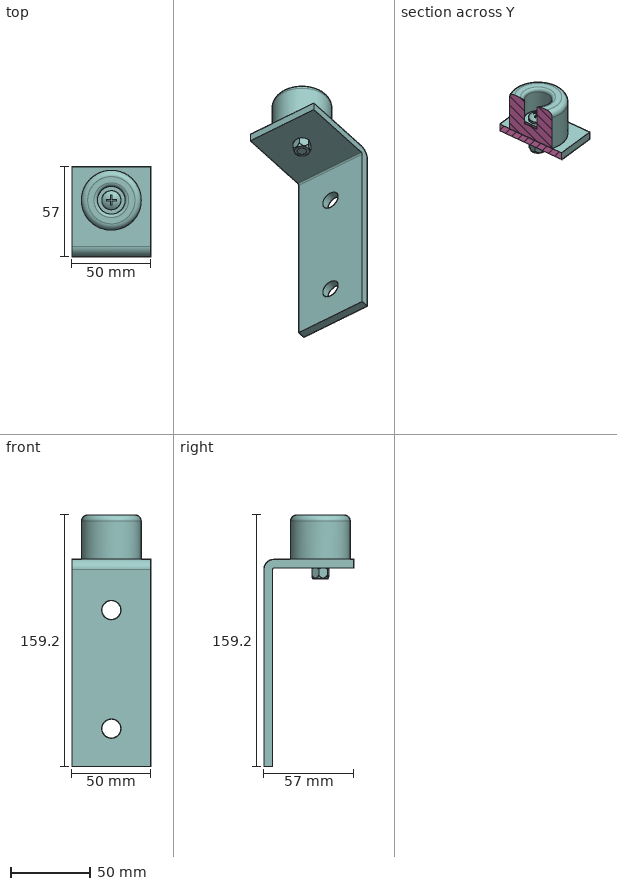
import cadquery as cq
import math

width = 50.0
depth = 57.0
flange_top = 131.2
thickness = 5.5
bend_inner_radius = 1.0
bend_outer_radius = bend_inner_radius + thickness
mount_hole_diameter = 12.0
lower_hole_height = 24.0
hole_spacing = 75.0
flange_bottom = flange_top - thickness

axis_y = 35.8
total_height = 159.2
buffer_radius = 19.0
buffer_height = total_height - flange_top
buffer_rounding = 4.0
bore_radius = 8.8
bore_rounding = 2.2
floor_thickness = 9.5

shank_radius = 3.0
head_radius = 6.0
head_rim_height = 1.5
head_height = 3.8
recess_length = 6.4
recess_width = 1.0
recess_depth = 1.9

washer_thickness = 1.6
washer_radius = bore_radius

nut_across_flats = 10.0
nut_height = 6.8
nut_angle = 50
nut_corner_radius = nut_across_flats / 2 / math.cos(math.pi / 6)
nut_end_radius = 4.8
nut_taper_height = 2.2
nut_top_chamfer = 0.6

floor_top = flange_top + floor_thickness
head_seat = floor_top + washer_thickness
nut_bottom = flange_bottom - nut_height


def cylinder(radius, bottom, height):
    """Upright cylinder on the screw axis."""
    return cq.Workplane("XY", origin=(0, axis_y, bottom)).circle(radius).extrude(height)


def make_bracket():
    """L-shaped plate with a rounded bend, two wall holes and a screw hole."""
    profile = (
        cq.Workplane("YZ", origin=(-width / 2, 0, 0))
        .polyline([
            (0, 0),
            (0, flange_top),
            (depth, flange_top),
            (depth, flange_bottom),
            (thickness, flange_bottom),
            (thickness, 0),
        ])
        .close()
    )
    plate = profile.extrude(width)
    outer_corner = cq.selectors.NearestToPointSelector((0, 0, flange_top))
    plate = plate.edges(outer_corner).fillet(bend_outer_radius)
    inner_corner = cq.selectors.NearestToPointSelector((0, thickness, flange_bottom))
    plate = plate.edges(inner_corner).fillet(bend_inner_radius)

    for height in (lower_hole_height, lower_hole_height + hole_spacing):
        hole = (
            cq.Workplane("XZ", origin=(0, 0, height))
            .circle(mount_hole_diameter / 2)
            .extrude(-thickness)
        )
        plate = plate.cut(hole)
    return plate.cut(cylinder(shank_radius, flange_bottom, thickness))


def make_buffer():
    """Cylinder with rounded rims, a wide bore and a screw hole in the floor."""
    body = cylinder(buffer_radius, flange_top, buffer_height)
    body = body.faces(">Z").edges().fillet(buffer_rounding)
    body = body.cut(cylinder(bore_radius, floor_top, buffer_height))
    bore_rim = cq.selectors.RadiusNthSelector(0)
    body = body.faces(">Z").edges(bore_rim).fillet(bore_rounding)
    return body.cut(cylinder(shank_radius, flange_top, floor_thickness))


def make_washer():
    """Flat ring filling the width of the bore."""
    ring = cylinder(washer_radius, floor_top, washer_thickness)
    return ring.cut(cylinder(shank_radius, floor_top, washer_thickness))


def make_screw():
    """Shank ending flush with the nut, under a domed head with a cross recess."""
    dome_rise = head_height - head_rim_height
    dome_radius = (head_radius**2 + dome_rise**2) / (2 * dome_rise)
    dome_center = head_seat + head_height - dome_radius
    sphere = cq.Workplane("XY", origin=(0, axis_y, dome_center)).sphere(dome_radius)
    head = cylinder(head_radius, head_seat, head_height).intersect(sphere)

    head_top = head_seat + head_height
    for length, breadth in ((recess_length, recess_width), (recess_width, recess_length)):
        slot = (
            cq.Workplane("XY", origin=(0, axis_y, head_top))
            .rect(length, breadth)
            .extrude(-recess_depth)
        )
        head = head.cut(slot)
    return head.union(cylinder(shank_radius, nut_bottom, head_seat - nut_bottom))


def make_nut():
    """Hexagon trimmed by cones at both ends, bored for the shank."""
    hexagon = (
        cq.Workplane("XY")
        .polygon(6, 2 * nut_corner_radius)
        .extrude(nut_height)
        .rotate((0, 0, 0), (0, 0, 1), nut_angle)
        .translate((0, axis_y, nut_bottom))
    )
    envelope = (
        cq.Workplane("XZ")
        .polyline([
            (0, 0),
            (nut_end_radius, 0),
            (nut_corner_radius, nut_taper_height),
            (nut_corner_radius, nut_height - nut_top_chamfer),
            (nut_corner_radius - nut_top_chamfer, nut_height),
            (0, nut_height),
        ])
        .close()
        .revolve(360, (0, 0, 0), (0, 1, 0))
        .translate((0, axis_y, nut_bottom))
    )
    return hexagon.intersect(envelope).cut(cylinder(shank_radius, nut_bottom, nut_height))


bracket = make_bracket()
buffer = make_buffer()
washer = make_washer()
screw = make_screw()
nut = make_nut()

result = cq.Compound.makeCompound([
    bracket.val(),
    buffer.val(),
    washer.val(),
    screw.val(),
    nut.val(),
])